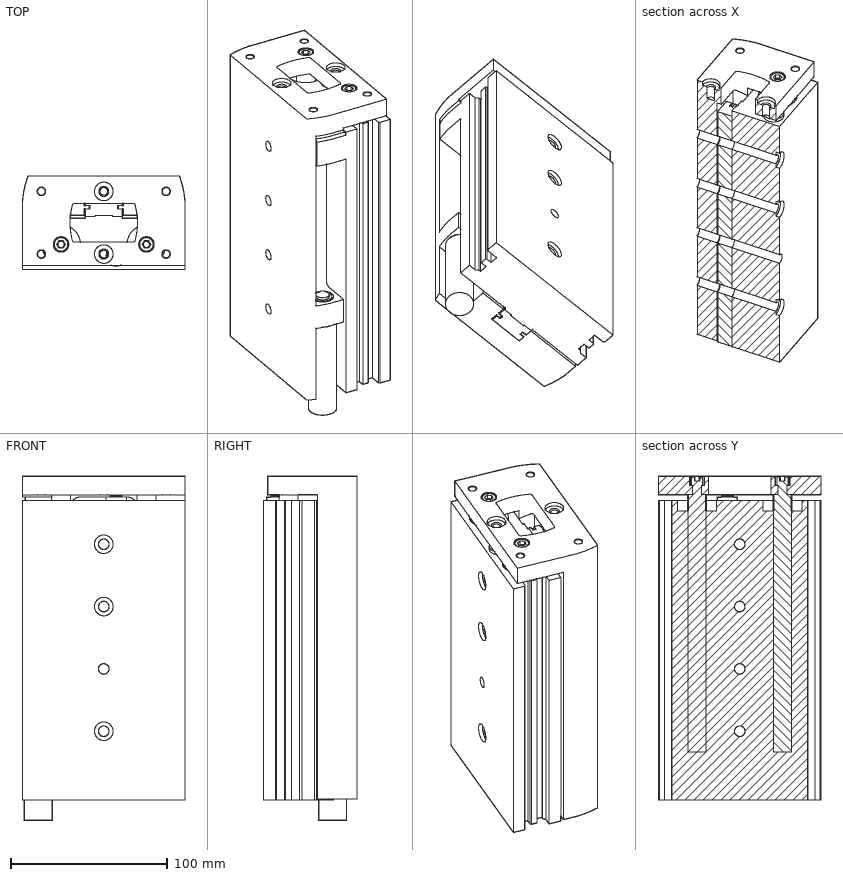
import cadquery as cq


half_width = 52.0
half_depth = 30.0
total_height = 220.5
eps = 2.2

housing_bottom = 13.0
housing_top = 204.8
housing_face_y = 2.9
pedestal_y = 4.0
pedestal_half_width = 12.0
tongue_y = 4.6
tongue_half_width = 5.7
groove_upper_y = -5.3
groove_taper_y = -6.8
lip_top_y = -12.0
lip_bottom_y = -16.5
flange_top_y = -21.5
mouth_chamfer = 0.7
taper_start_depth = 5.0
taper_depth = 6.8
groove_depth = 8.4
lip_depth = 4.0

lug_bottom = 185.0
lug_tip_y = 23.5
lug_top = 204.2
lug_chamfer = 1.5

table_bottom = 13.7
table_face_y = 4.6
end_plate_bottom = 208.4
end_plate_front_y = -27.3
back_plate_y = 24.3
side_round_y = 14.3
side_round_radius = 57.3
back_half_width = 48.5
back_corner_radius = 0.7

channel_wall_x = -30.5
channel_top = 207.0
channel_top_fillet = 2.2
block_bottom = 65.7
block_top = 82.2
block_fillet = 2.9
lug_clearance = 0.9
lug_inner_x = channel_wall_x - lug_clearance

window_half_height = 12.3
window_half_width = 21.5
window_end_half_width = 19.8
window_corner_radius = 1.3

pocket_back_y = 15.5
pocket_top = 207.0
pocket_floor = 191.8
pocket_fillet = 6.6

rail_top = 200.5
rail_half_width = 12.0
rail_back_y = 15.0
rail_groove_y = 10.0
rail_groove_height = 2.2
rail_groove_depth = 3.0
rail_clearance = 0.5

pitch = 40.0
mount_hole_top_z = 176.8
mount_rows = 4
plain_row = 2
mount_hole_diameter = 6.6
counterbore_diameter = 12.0
counterbore_depth = 2.6
plate_hole_y = 20.0
tapped_diameter = 4.9
corner_mouth_diameter = 5.5
center_mouth_diameter = 6.5

rod_x = 27.3
rod_y = -14.0
rod_diameter = 12.1
rod_bottom = 44.0
gland_diameter = 25.0
gland_depth = 6.6
screw_shank_diameter = 6.6
screw_head_diameter = 8.5
screw_head_height = 5.5
screw_bore_diameter = 10.0
screw_bore_depth = 6.0
socket_diameter = 5.5
socket_depth = 2.6
socket_pilot_diameter = 4.0
socket_pilot_depth = 1.0

plug_x = 8.0
plug_y = -21.4
plug_diameter = 13.0
plug_height = 2.2
plug_neck_diameter = 7.7
plug_neck_height = 0.7

absorber_x = -42.0
absorber_y = 14.3
absorber_diameter = 18.0
absorber_chamfer = 0.9
absorber_hole_diameter = 14.1
absorber_neck_diameter = 12.0
absorber_tip_diameter = 8.5
absorber_tip_height = 1.5


def box(x0, x1, y0, y1, z0, z1):
    """Box between two opposite corners."""
    return cq.Workplane("XY").box(x1 - x0, y1 - y0, z1 - z0, centered=False).translate((x0, y0, z0))


def cylinder_z(x, y, diameter, z0, z1):
    """Upright cylinder."""
    return cq.Workplane("XY", origin=(x, y, z0)).circle(diameter / 2).extrude(z1 - z0)


def mount_holes():
    """Row of holes through the whole depth, on the centre line."""
    heights = [mount_hole_top_z - row * pitch for row in range(mount_rows)]
    points = [(0, z) for z in heights]
    back = cq.Workplane("XZ", origin=(0, half_depth + eps, 0))
    return back.pushPoints(points).circle(mount_hole_diameter / 2).extrude(2 * (half_depth + eps))


def mount_counterbores():
    """Counterbores in the front face, one row left plain."""
    heights = [mount_hole_top_z - row * pitch for row in range(mount_rows) if row != plain_row]
    front = cq.Workplane("XZ", origin=(0, -half_depth + counterbore_depth, 0))
    return front.pushPoints([(0, z) for z in heights]).circle(counterbore_diameter / 2).extrude(
        counterbore_depth + eps
    )


def table_outline(front_y, z0, z1):
    """Slab whose two sides round inward toward the back face."""
    return (
        cq.Workplane("XY", origin=(0, 0, z0))
        .moveTo(-half_width, front_y)
        .lineTo(half_width, front_y)
        .lineTo(half_width, side_round_y)
        .radiusArc((back_half_width, half_depth), -side_round_radius)
        .lineTo(-back_half_width, half_depth)
        .radiusArc((-half_width, side_round_y), -side_round_radius)
        .close()
        .extrude(z1 - z0)
        .edges("|Z and >Y")
        .fillet(back_corner_radius)
    )


def rail_section(clearance, front_y):
    """Rail profile with a ball groove in each side, grown by the running clearance."""
    half = rail_half_width + clearance
    section = box(-half, half, front_y, rail_back_y + clearance, housing_bottom, rail_top)
    groove_half = rail_groove_height / 2
    for side in (-1, 1):
        inner = side * (half - rail_groove_depth)
        outer = side * (half + eps)
        section = section.cut(
            box(
                min(inner, outer),
                max(inner, outer),
                rail_groove_y - groove_half,
                rail_groove_y + groove_half,
                housing_bottom - eps,
                rail_top + eps,
            )
        )
    return section


def housing_profile():
    """Extruded section: a flange in front, then two grooves along each side."""
    lip_x = half_width - lip_depth
    floor_x = half_width - groove_depth
    right_side = [
        (half_width, -half_depth),
        (half_width, flange_top_y - mouth_chamfer),
        (half_width - mouth_chamfer, flange_top_y),
        (floor_x, flange_top_y),
        (floor_x, lip_bottom_y),
        (lip_x - mouth_chamfer, lip_bottom_y),
        (lip_x, lip_bottom_y + mouth_chamfer),
        (lip_x, lip_top_y),
        (floor_x, lip_top_y),
        (floor_x, groove_taper_y),
        (half_width - taper_depth, groove_taper_y),
        (half_width - taper_start_depth, groove_upper_y),
        (half_width, groove_upper_y),
        (half_width, housing_face_y),
        (pedestal_half_width, housing_face_y),
        (pedestal_half_width, pedestal_y),
        (tongue_half_width, pedestal_y),
        (tongue_half_width, tongue_y),
    ]
    left_side = [(-x, y) for x, y in reversed(right_side)]
    return (
        cq.Workplane("XY", origin=(0, 0, housing_bottom))
        .polyline(right_side + left_side)
        .close()
        .extrude(housing_top - housing_bottom)
    )


def stop_lug():
    """Lug above the absorber, shaped to the table's rounded side."""
    envelope = box(-half_width - eps, lug_inner_x, housing_face_y - eps, lug_tip_y, lug_bottom, lug_top)
    lug = table_outline(housing_face_y - eps, lug_bottom, lug_top).intersect(envelope)
    outer_edges = cq.selectors.BoxSelector(
        (-half_width - eps, housing_face_y - eps, lug_top - eps),
        (-back_half_width - lug_chamfer / 2, lug_tip_y, lug_top + eps),
    )
    return lug.edges(outer_edges).chamfer(lug_chamfer)


def port_plug():
    """Round plug head with a small stub."""
    head_top = housing_top + plug_height
    head = cylinder_z(plug_x, plug_y, plug_diameter, housing_top, head_top)
    return head.union(cylinder_z(plug_x, plug_y, plug_neck_diameter, head_top, head_top + plug_neck_height))


def make_housing():
    housing = housing_profile().union(stop_lug()).union(port_plug())
    for side in (-1, 1):
        gland = cylinder_z(side * rod_x, rod_y, gland_diameter, housing_top - gland_depth, housing_top)
        bore = cylinder_z(side * rod_x, rod_y, rod_diameter, rod_bottom, housing_top)
        housing = housing.cut(gland).cut(bore)
    return housing.cut(mount_holes()).cut(mount_counterbores())


def make_rail():
    seat = box(
        -tongue_half_width, tongue_half_width, pedestal_y - eps, tongue_y, housing_bottom, rail_top
    )
    return rail_section(0, pedestal_y).cut(seat).cut(mount_holes())


def side_channel():
    """Channel beside the rail, interrupted by the absorber block."""
    upper = box(
        -half_width - eps, channel_wall_x, table_face_y - eps, back_plate_y, block_top, channel_top
    )
    upper = upper.edges("|Y and >X and <Z").fillet(block_fillet)
    upper = upper.edges("|Y and >X and >Z").fillet(channel_top_fillet)
    lower = box(
        -half_width - eps, channel_wall_x, table_face_y - eps, back_plate_y, table_bottom - eps, block_bottom
    )
    return upper.union(lower)


def window():
    """Window with bowed ends, opening into the clearance pocket."""
    return (
        cq.Workplane("XY", origin=(0, 0, pocket_floor))
        .moveTo(-window_end_half_width, -window_half_height)
        .lineTo(window_end_half_width, -window_half_height)
        .threePointArc((window_half_width, 0), (window_end_half_width, window_half_height))
        .lineTo(-window_end_half_width, window_half_height)
        .threePointArc((-window_half_width, 0), (-window_end_half_width, -window_half_height))
        .close()
        .extrude(total_height - pocket_floor)
        .edges("|Z")
        .fillet(window_corner_radius)
    )


def rail_pocket():
    """Pocket around the rail end, with a round-cornered ceiling."""
    block = box(
        -window_half_width, window_half_width, table_face_y - eps, pocket_back_y, pocket_floor, pocket_top
    )
    return block.edges("|Y and >Z").fillet(pocket_fillet)


def tapped_hole(x, y, mouth_diameter, top_z):
    """Hole through the end plate with a bevelled mouth."""
    bevel = (mouth_diameter - tapped_diameter) / 2
    hole = cylinder_z(x, y, tapped_diameter, end_plate_bottom, top_z)
    mouth = (
        cq.Workplane("XY", origin=(x, y, top_z))
        .circle(mouth_diameter / 2)
        .workplane(offset=-bevel)
        .circle(tapped_diameter / 2)
        .loft()
    )
    return hole.union(mouth)


def drill_end_plate(table):
    """Corner holes, two counterbored centre holes and the bores of the rod screws."""
    for y in (-plate_hole_y, plate_hole_y):
        for x in (-pitch, pitch):
            table = table.cut(tapped_hole(x, y, corner_mouth_diameter, total_height))
        counterbore_floor = total_height - counterbore_depth
        table = table.cut(cylinder_z(0, y, counterbore_diameter, counterbore_floor, total_height))
        center_hole = tapped_hole(0, y, center_mouth_diameter, counterbore_floor)
        table = table.cut(center_hole)
    bore_floor = total_height - screw_bore_depth
    for x in (-rod_x, rod_x):
        table = table.cut(cylinder_z(x, rod_y, screw_bore_diameter, bore_floor, total_height))
        table = table.cut(cylinder_z(x, rod_y, screw_shank_diameter, end_plate_bottom, bore_floor))
    return table


def make_table():
    end_plate = table_outline(end_plate_front_y, end_plate_bottom, total_height)
    slide = table_outline(table_face_y, table_bottom, total_height)
    table = end_plate.union(slide).cut(side_channel())
    table = table.cut(rail_section(rail_clearance, table_face_y - eps)).cut(window()).cut(rail_pocket())
    table = drill_end_plate(table)
    table = table.cut(cylinder_z(absorber_x, absorber_y, absorber_hole_diameter, block_bottom, block_top))
    return table.cut(mount_holes())


def make_rod(x):
    """Rod with its fixing screw, whose socket head sinks into the end plate."""
    head_floor = total_height - screw_bore_depth
    head_top = head_floor + screw_head_height
    socket = (
        cq.Workplane("XY", origin=(x, rod_y, head_top - socket_depth))
        .polygon(6, socket_diameter)
        .extrude(socket_depth)
    )
    pilot_floor = head_top - socket_depth - socket_pilot_depth
    return (
        cylinder_z(x, rod_y, rod_diameter, rod_bottom, end_plate_bottom)
        .union(cylinder_z(x, rod_y, screw_shank_diameter, end_plate_bottom, head_floor))
        .union(cylinder_z(x, rod_y, screw_head_diameter, head_floor, head_top))
        .cut(socket)
        .cut(cylinder_z(x, rod_y, socket_pilot_diameter, pilot_floor, head_top))
    )


def make_absorber():
    body = cylinder_z(absorber_x, absorber_y, absorber_diameter, 0, block_bottom)
    body = body.faces(">Z").chamfer(absorber_chamfer)
    neck = cylinder_z(absorber_x, absorber_y, absorber_neck_diameter, block_bottom, block_top)
    tip_top = block_top + absorber_tip_height
    tip = cylinder_z(absorber_x, absorber_y, absorber_tip_diameter, block_top, tip_top)
    return body.union(neck).union(tip)


housing = make_housing()
rail = make_rail()
table = make_table()
rods = [make_rod(x) for x in (-rod_x, rod_x)]
absorber = make_absorber()

result = cq.Compound.makeCompound(
    [housing.val(), rail.val(), table.val(), *[rod.val() for rod in rods], absorber.val()]
)